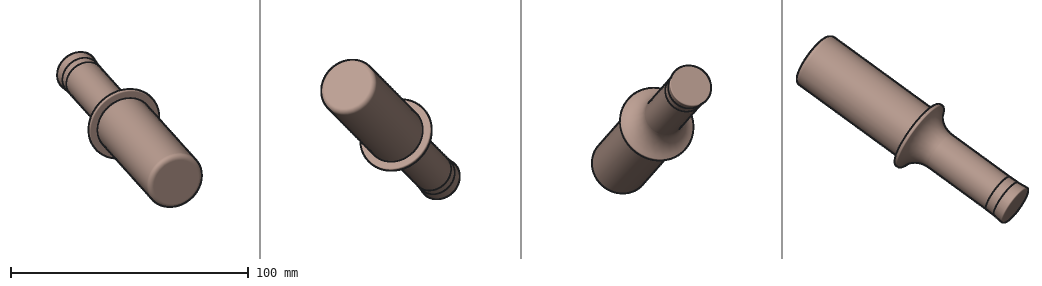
import cadquery as cq
import math

total_length = 108.5
handle_radius = 25.0 / 2
handle_end_round = 2.2
collar_radius = 32.0 / 2
collar_back = 52.5
rim_width = 2.0
rim_round = 0.5
neck_radius = 17.0 / 2
neck_start = 9.2
neck_end = 40.3
flare_radius = 11.1
tip_radius = 18.2 / 2
tip_round = 0.4
socket_floor = 5.0

rim_front = collar_back - rim_width


def arc_rise(radius, run):
    """Height gained over an axial run by an arc that starts parallel to the axis."""
    return radius - math.sqrt(radius**2 - run**2)


def make_tip():
    """Flared cap whose thin skirt feathers out to nothing on the neck."""
    tip_rise = tip_radius - neck_radius
    tip_flare_radius = (neck_start**2 + tip_rise**2) / (2 * tip_rise)
    tip_middle = (neck_start / 2, neck_radius + arc_rise(tip_flare_radius, neck_start / 2))

    profile = (
        cq.Workplane("XY")
        .lineTo(0, tip_radius)
        .threePointArc(tip_middle, (neck_start, neck_radius))
        .lineTo(socket_floor, neck_radius)
        .lineTo(socket_floor, 0)
        .close()
    )
    tip = profile.revolve(360, (0, 0, 0), (1, 0, 0))
    return tip.faces("<X").edges().fillet(tip_round)


def make_shank():
    """Plain neck, trumpet-shaped collar and round handle, turned in one piece."""
    flare_length = rim_front - neck_end
    flare_top = neck_radius + arc_rise(flare_radius, flare_length)
    flare_middle = (
        neck_end + flare_length / 2,
        neck_radius + arc_rise(flare_radius, flare_length / 2),
    )

    profile = (
        cq.Workplane("XY")
        .moveTo(socket_floor, 0)
        .lineTo(socket_floor, neck_radius)
        .lineTo(neck_end, neck_radius)
        .threePointArc(flare_middle, (rim_front, flare_top))
        .radiusArc((rim_front + rim_round, collar_radius), rim_round)
        .lineTo(collar_back - rim_round, collar_radius)
        .radiusArc((collar_back, collar_radius - rim_round), rim_round)
        .lineTo(collar_back, handle_radius)
        .lineTo(total_length, handle_radius)
        .lineTo(total_length, 0)
        .close()
    )
    shank = profile.revolve(360, (0, 0, 0), (1, 0, 0))
    return shank.faces(">X").edges().fillet(handle_end_round)


tip = make_tip()
shank = make_shank()
result = cq.Compound.makeCompound([tip.val(), shank.val()])